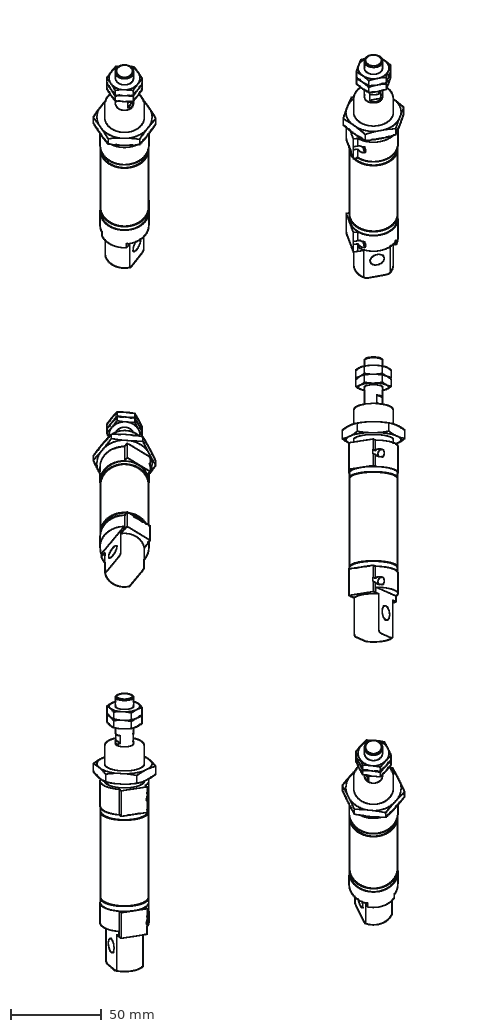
import cadquery as cq
import math

COLLAR_DIAMETER = 22.0
COLLAR_ROUNDING = 1.6
CAP_DIAMETER = 27.0
TUBE_DIAMETER = 26.5

HOUSING_TOP_Z = 131.0
FRONT_CAP_TOP_Z = 109.0
FRONT_CAP_BOTTOM_Z = 94.0
REAR_CAP_TOP_Z = 37.0
REAR_CAP_BOTTOM_Z = 22.0

SEAM_DEPTH = 0.2
SEAM_WIDTH = 0.3
FRONT_SEAM_Z = 91.0
REAR_SEAM_Z = 40.0

PAD_WIDTH = 15.6

SIDE_HOLE_DIAMETER = 4.5
SIDE_HOLE_X = -9.7
SIDE_HOLE_SHOULDER_Y = 7.8
DRILL_POINT_ANGLE = 118
FRONT_SIDE_HOLE_Z = 101.9
REAR_SIDE_HOLE_Z = 29.0

TONGUE_WIDTH = 15.9
TONGUE_TOP_Z = 25.1
PIVOT_HOLE_DIAMETER = 8.0
PIVOT_HOLE_Z = 12.9

ROD_DIAMETER = 10.0
ROD_TOP_Z = 159
ROD_CHAMFER = 0.6
ROD_FLATS_WIDTH = 8.0
ROD_FLATS_TOP_Z = 137.2
ROD_FLATS_BOTTOM_Z = 132.8

NUT_CHAMFER_ANGLE = 20
ROD_NUT_ACROSS_FLATS = 17.0
ROD_NUT_FACE_DIAMETER = 17.0
ROD_NUT_HEIGHT = 5.1
ROD_NUT_COUNT = 2
ROD_NUTS_BOTTOM_Z = 143.0
MOUNT_NUT_ACROSS_FLATS = 30.0
MOUNT_NUT_FACE_DIAMETER = 30.4
MOUNT_NUT_HEIGHT = 6.2
MOUNT_NUT_BOTTOM_Z = 112.9


def disc(diameter, bottom_z, top_z):
    """Cylinder about the Z axis between two heights."""
    return cq.Workplane("XY").workplane(offset=bottom_z).circle(diameter / 2).extrude(top_z - bottom_z)


def make_port_pad(bottom_z, top_z):
    """Pad level with the cap at +Y, starting where its side faces meet the cap surface."""
    cap_radius = CAP_DIAMETER / 2
    inner_y = math.sqrt(cap_radius**2 - (PAD_WIDTH / 2) ** 2)
    depth = cap_radius - inner_y
    pad = cq.Workplane("XY").box(PAD_WIDTH, depth, top_z - bottom_z, centered=(True, False, False))
    return pad.translate((0, inner_y, bottom_z))


def make_side_hole(center_z):
    """Drill shape parallel to Y, with a conical point below its shoulder."""
    radius = SIDE_HOLE_DIAMETER / 2
    point_length = radius / math.tan(math.radians(DRILL_POINT_ANGLE / 2))
    mouth_y = CAP_DIAMETER
    return (
        cq.Workplane("XY")
        .polyline([
            (0, SIDE_HOLE_SHOULDER_Y - point_length),
            (radius, SIDE_HOLE_SHOULDER_Y),
            (radius, mouth_y),
            (0, mouth_y),
        ])
        .close()
        .revolve(360, (0, 0, 0), (0, 1, 0))
        .translate((SIDE_HOLE_X, 0, center_z))
    )


def make_seam(center_z):
    """Thin ring to be removed from the surface of the tube."""
    bottom_z = center_z - SEAM_WIDTH / 2
    top_z = center_z + SEAM_WIDTH / 2
    return disc(CAP_DIAMETER, bottom_z, top_z).cut(disc(TUBE_DIAMETER - 2 * SEAM_DEPTH, bottom_z, top_z))


def make_tongue_cuts():
    """The two blocks removed beside the tongue at the rear end."""
    cuts = cq.Workplane("XY").box(2 * CAP_DIAMETER, 2 * CAP_DIAMETER, TONGUE_TOP_Z, centered=(True, True, False))
    tongue = cq.Workplane("XY").box(TONGUE_WIDTH, 2 * CAP_DIAMETER, TONGUE_TOP_Z, centered=(True, True, False))
    return cuts.cut(tongue)


def make_housing():
    collar = disc(COLLAR_DIAMETER, 0, HOUSING_TOP_Z).faces("<Z or >Z").edges().fillet(COLLAR_ROUNDING)
    housing = (
        collar
        .union(disc(TUBE_DIAMETER, REAR_CAP_TOP_Z, FRONT_CAP_BOTTOM_Z))
        .union(disc(CAP_DIAMETER, FRONT_CAP_BOTTOM_Z, FRONT_CAP_TOP_Z))
        .union(disc(CAP_DIAMETER, REAR_CAP_BOTTOM_Z, REAR_CAP_TOP_Z))
        .cut(make_tongue_cuts())
        .union(make_port_pad(FRONT_CAP_BOTTOM_Z, FRONT_CAP_TOP_Z))
        .union(make_port_pad(REAR_CAP_BOTTOM_Z, REAR_CAP_TOP_Z))
    )
    for seam_z in (FRONT_SEAM_Z, REAR_SEAM_Z):
        housing = housing.cut(make_seam(seam_z))
    for hole_z in (FRONT_SIDE_HOLE_Z, REAR_SIDE_HOLE_Z):
        housing = housing.cut(make_side_hole(hole_z))
    pivot_hole = (
        cq.Workplane("YZ").center(0, PIVOT_HOLE_Z).circle(PIVOT_HOLE_DIAMETER / 2).extrude(CAP_DIAMETER, both=True)
    )
    return housing.cut(pivot_hole)


def make_rod():
    """Rod standing on the housing, with two wrench flats that run out at 45 degrees below."""
    rod = disc(ROD_DIAMETER, HOUSING_TOP_Z, ROD_TOP_Z).faces(">Z").chamfer(ROD_CHAMFER)
    inner_x = ROD_FLATS_WIDTH / 2
    outer_x = ROD_DIAMETER
    flat_cut = (
        cq.Workplane("XZ")
        .polyline([
            (inner_x, ROD_FLATS_TOP_Z),
            (outer_x, ROD_FLATS_TOP_Z),
            (outer_x, ROD_FLATS_BOTTOM_Z - (outer_x - inner_x)),
            (inner_x, ROD_FLATS_BOTTOM_Z),
        ])
        .close()
        .extrude(ROD_DIAMETER, both=True)
    )
    return rod.cut(flat_cut).cut(flat_cut.mirror("YZ"))


def make_nut(across_flats, face_diameter, height, bore_diameter, bottom_z):
    """Hexagon nut with corners on the Y axis, chamfered on both faces."""
    corner_radius = across_flats / math.sqrt(3)
    face_radius = face_diameter / 2
    chamfer_height = (corner_radius - face_radius) * math.tan(math.radians(NUT_CHAMFER_ANGLE))
    hexagon = cq.Workplane("XY").polygon(6, 2 * corner_radius).extrude(height).rotate((0, 0, 0), (0, 0, 1), 90)
    chamfered_blank = (
        cq.Workplane("XZ")
        .polyline([
            (0, 0),
            (face_radius, 0),
            (corner_radius, chamfer_height),
            (corner_radius, height - chamfer_height),
            (face_radius, height),
            (0, height),
        ])
        .close()
        .revolve(360, (0, 0, 0), (0, 1, 0))
    )
    nut = hexagon.intersect(chamfered_blank).cut(disc(bore_diameter, 0, height))
    return nut.translate((0, 0, bottom_z))


housing = make_housing()
rod = make_rod()
mount_nut = make_nut(
    MOUNT_NUT_ACROSS_FLATS, MOUNT_NUT_FACE_DIAMETER, MOUNT_NUT_HEIGHT, COLLAR_DIAMETER, MOUNT_NUT_BOTTOM_Z
)
rod_nuts = []
for index in range(ROD_NUT_COUNT):
    nut_bottom_z = ROD_NUTS_BOTTOM_Z + index * ROD_NUT_HEIGHT
    rod_nuts.append(
        make_nut(ROD_NUT_ACROSS_FLATS, ROD_NUT_FACE_DIAMETER, ROD_NUT_HEIGHT, ROD_DIAMETER, nut_bottom_z)
    )

result = cq.Compound.makeCompound([
    housing.val(),
    rod.val(),
    mount_nut.val(),
    *[nut.val() for nut in rod_nuts],
])